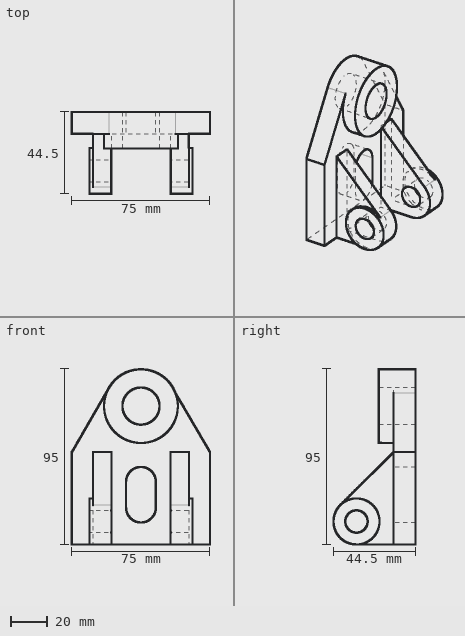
import cadquery as cq
import math

plate_width = 75.0
plate_thickness = 12.0
shoulder_height = 50.0

boss_diameter = 40.0
boss_bore = 20.0
boss_depth = 20.0
boss_height = 75.0
right_flank_end_x = 18.7

slot_width = 16.0
slot_length = 30.0
slot_height = 27.0

lug_gap = 32.0
rib_thickness = 10.0
eye_thickness = 12.0
eye_diameter = 25.0
eye_bore = 12.0
eye_reach = 32.0
eye_height = eye_diameter / 2


def tangent_point(outside, center, radius, side):
    """Point where a line from `outside` touches a circle; `side` (+1 or -1) picks which one."""
    dx = outside[0] - center[0]
    dy = outside[1] - center[1]
    angle = math.atan2(dy, dx) + side * math.acos(radius / math.hypot(dx, dy))
    return (center[0] + radius * math.cos(angle), center[1] + radius * math.sin(angle))


def front_cylinder(diameter, depth, height):
    """Cylinder on the plate's centre line, from the rear face toward -Y."""
    return cq.Workplane("XZ").center(0, height).circle(diameter / 2).extrude(depth)


def make_plate():
    """Plate with a straight lower part and flanks running up into the boss.

    The -X flank is tangent to the boss; the +X flank ends slightly lower on it.
    """
    half_width = plate_width / 2
    boss_radius = boss_diameter / 2
    left_shoulder = (-half_width, shoulder_height)
    left_touch = tangent_point(left_shoulder, (0, boss_height), boss_radius, -1)
    right_flank_end_z = boss_height + math.sqrt(boss_radius**2 - right_flank_end_x**2)
    return (
        cq.Workplane("XZ")
        .moveTo(-half_width, 0)
        .lineTo(half_width, 0)
        .lineTo(half_width, shoulder_height)
        .lineTo(right_flank_end_x, right_flank_end_z)
        .threePointArc((0, boss_height + boss_radius), left_touch)
        .lineTo(*left_shoulder)
        .close()
        .extrude(plate_thickness)
    )


def make_slot():
    """Cutter for the vertical slot with round ends."""
    return (
        cq.Workplane("XZ")
        .center(0, slot_height)
        .slot2D(slot_length, slot_width, 90)
        .extrude(plate_thickness)
    )


def make_lug():
    """Lug on the +X side; its rib and eye share the inner face."""
    inner_face = cq.Workplane("YZ", origin=(lug_gap / 2, 0, 0))
    eye_center = (-eye_reach, eye_height)
    rib_top = (-plate_thickness, shoulder_height)
    eye_radius = eye_diameter / 2
    touch = tangent_point(rib_top, eye_center, eye_radius, 1)
    rib = (
        inner_face.moveTo(-plate_thickness, 0)
        .lineTo(*rib_top)
        .lineTo(*touch)
        .lineTo(*eye_center)
        .lineTo(-eye_reach, 0)
        .close()
        .extrude(rib_thickness)
    )
    eye = inner_face.center(*eye_center).circle(eye_radius).extrude(eye_thickness)
    bore = inner_face.center(*eye_center).circle(eye_bore / 2).extrude(eye_thickness)
    return rib.union(eye).cut(bore)


lug = make_lug()
result = (
    make_plate()
    .union(front_cylinder(boss_diameter, boss_depth, boss_height))
    .cut(front_cylinder(boss_bore, boss_depth, boss_height))
    .cut(make_slot())
    .union(lug)
    .union(lug.mirror("YZ"))
)